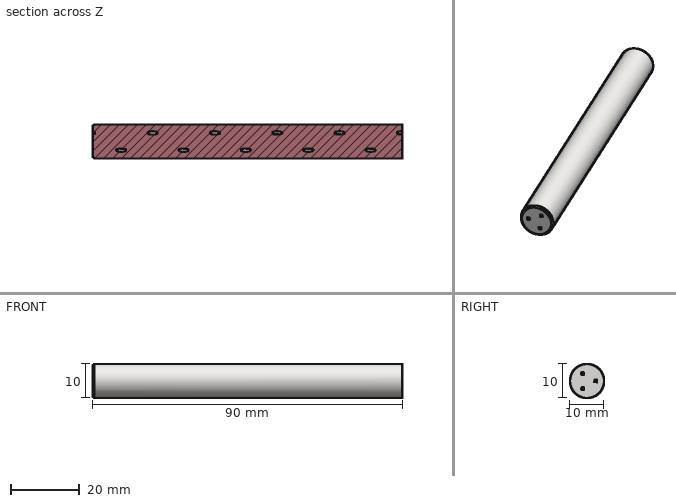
import cadquery as cq
import math

rod_length = 90.0
rod_diameter = 10.0
end_chamfer = 0.495

hole_count = 3
hole_diameter = 0.8
hole_circle_radius = 2.5
first_hole_angle = 125
helix_angle = 30
helix_pitch = math.pi * rod_diameter / math.tan(math.radians(helix_angle))
hole_twist = 360 * rod_length / helix_pitch


def make_rod():
    """Plain round rod with its -X end chamfered."""
    rod = cq.Workplane("YZ").circle(rod_diameter / 2).extrude(rod_length / 2, both=True)
    return rod.faces("<X").chamfer(end_chamfer)


def make_coolant_hole(angle):
    """Cutter for one right-handed helical hole, starting at the given angle on the -X end."""
    y = hole_circle_radius * math.cos(math.radians(angle))
    z = hole_circle_radius * math.sin(math.radians(angle))
    return (
        cq.Workplane("YZ", origin=(-rod_length / 2, 0, 0))
        .center(y, z)
        .circle(hole_diameter / 2)
        .center(-y, -z)
        .twistExtrude(rod_length, hole_twist)
    )


result = make_rod()
for index in range(hole_count):
    result = result.cut(make_coolant_hole(first_hole_angle + index * 360 / hole_count))